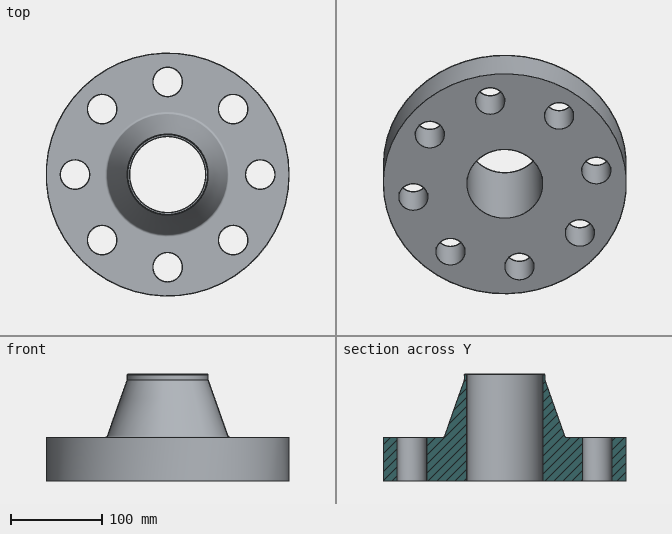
import cadquery as cq

flange_diameter = 266.5
flange_thickness = 48.0
total_height = 117.3

bolt_hole_count = 8
bolt_hole_diameter = 32.0
bolt_circle_diameter = 203.2

hub_base_diameter = 133.3
pipe_diameter = 89.0
pipe_end_length = 6.7
bore_diameter = 83.2
hub_foot_fillet = 2.7
rim_chamfer = 0.8

flange_radius = flange_diameter / 2
hub_base_radius = hub_base_diameter / 2
pipe_radius = pipe_diameter / 2
bore_radius = bore_diameter / 2
pipe_end_bottom = total_height - pipe_end_length


def make_body():
    """Revolve the disc, hub and pipe end around Z, with the bore left open."""
    half_section = (
        cq.Workplane("XZ")
        .moveTo(bore_radius, 0)
        .lineTo(flange_radius, 0)
        .lineTo(flange_radius, flange_thickness)
        .lineTo(hub_base_radius, flange_thickness)
        .lineTo(pipe_radius, pipe_end_bottom)
        .lineTo(pipe_radius, total_height)
        .lineTo(bore_radius, total_height)
        .close()
    )
    return half_section.revolve(360, (0, 0, 0), (0, 1, 0))


def round_hub_foot(body):
    """Blend the foot of the hub into the top face of the disc."""
    foot_edge = cq.selectors.RadiusNthSelector(-2)
    return body.edges(foot_edge).fillet(hub_foot_fillet)


def bevel_rim(body):
    """Break the outer edge of the pipe end."""
    rim_edge = cq.selectors.RadiusNthSelector(-1)
    return body.faces(">Z").edges(rim_edge).chamfer(rim_chamfer)


def drill_bolt_holes(body):
    """Cut the ring of bolt holes through the disc."""
    drills = (
        cq.Workplane("XY")
        .polarArray(bolt_circle_diameter / 2, 0, 360, bolt_hole_count)
        .circle(bolt_hole_diameter / 2)
        .extrude(flange_thickness)
    )
    return body.cut(drills)


result = drill_bolt_holes(bevel_rim(round_hub_foot(make_body())))